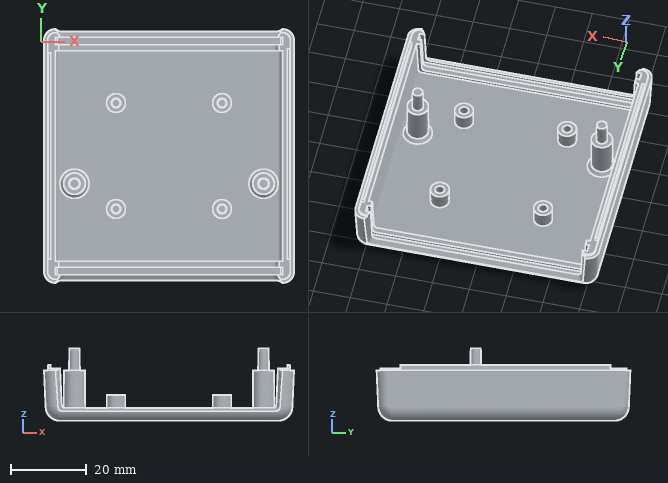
import cadquery as cq
import math

LENGTH_X = 66.2
LENGTH_Y = 67.2
RIM_Z = 13.4
DRAFT = 2.5
CORNER_RADIUS = 3.0
BOTTOM_RADIUS = 3.9

STEP_INSET = 1.0
STEP_Z = 13.9

TONGUE_Z = 14.85
TONGUE_INNER_X = 31.25
TONGUE_TAPER = 0.15
TONGUE_END_Y = 27.3
LONG_TONGUE_END_Y = 28.35

FLOOR_Z = 2.5
CAVITY_HALF_X = 30.1
CAVITY_HALF_Y = 27.8
FLOOR_FILLET = 1.0

SILL_Z = 3.5
OPENING_HALF_X = 29.1
END_HALF_X = 28.75
OPENING_RADIUS = 1.0
GROOVE_INNER_Y = 29.4
GROOVE_OUTER_Y = 31.45
FLARE_SLOPE = 0.6
FLARE_OVERRUN = 0.35

STANDOFF_SPACING = 28.0
STANDOFF_DIAMETER = 5.0
STANDOFF_Z = 6.9
STANDOFF_HOLE_TOP_DIAMETER = 2.5
STANDOFF_HOLE_FLOOR_DIAMETER = 2.2

POST_X = 25.0
POST_Y = -7.3
POST_BASE_DIAMETER = 5.7
POST_TOP_DIAMETER = 5.65
POST_FLARE = 1.0
PIN_BASE_DIAMETER = 2.95
PIN_NECK_DIAMETER = 2.8
PIN_TIP_DIAMETER = 2.6
PIN_NECK_Z = 18.4
PIN_TIP_Z = 19.3

DRAFT_SLOPE = math.tan(math.radians(DRAFT))


def make_shell_block():
    """Solid drafted block with rounded corners and a rounded underside."""
    block = (
        cq.Workplane("XY", origin=(0, 0, RIM_Z))
        .rect(LENGTH_X, LENGTH_Y)
        .extrude(-RIM_Z, taper=DRAFT)
        .edges("not(|X or |Y)")
        .fillet(CORNER_RADIUS)
        .faces("<Z")
        .edges()
        .fillet(BOTTOM_RADIUS)
    )
    step = (
        cq.Workplane("XY", origin=(0, 0, RIM_Z))
        .rect(LENGTH_X - 2 * STEP_INSET, LENGTH_Y - 2 * STEP_INSET)
        .extrude(STEP_Z - RIM_Z)
        .edges("|Z")
        .fillet(CORNER_RADIUS - STEP_INSET)
    )
    return block.union(step)


def trough_section(half_x, bottom_z, radius=0):
    """Drafted U-shaped section, open to the step height, lower corners rounded if radius is set."""
    low_half_x = half_x - (STEP_Z - bottom_z) * DRAFT_SLOPE
    section = cq.Sketch().polygon([
        (-half_x, STEP_Z),
        (half_x, STEP_Z),
        (low_half_x, bottom_z),
        (-low_half_x, bottom_z),
        (-half_x, STEP_Z),
    ])
    if radius:
        section = section.vertices("<Y").fillet(radius)
    return section


def make_trough(end_y, start_y, section):
    """Cutter with the given section that runs along Y from start_y to end_y."""
    return cq.Workplane("XZ", origin=(0, end_y, 0)).placeSketch(section).extrude(end_y - start_y)


def make_flare():
    """Cutter that widens the opening outwards beyond the groove at the +Y end."""
    run = LENGTH_Y / 2 + FLARE_OVERRUN - GROOVE_OUTER_Y
    growth = FLARE_SLOPE * run
    inner = trough_section(END_HALF_X, SILL_Z, OPENING_RADIUS)
    outer = trough_section(END_HALF_X + growth, SILL_Z - growth, OPENING_RADIUS)
    outward = cq.Location(cq.Vector(0, 0, -run))
    return (
        cq.Workplane("XZ", origin=(0, GROOVE_OUTER_Y, 0))
        .placeSketch(inner, outer.moved(outward))
        .loft(ruled=True)
    )


def cut_inside(shell):
    """Cut the cavity, the two open ends, their panel grooves and their flares."""
    cavity = trough_section(CAVITY_HALF_X, FLOOR_Z, FLOOR_FILLET)
    opening = trough_section(OPENING_HALF_X, SILL_Z, OPENING_RADIUS)
    groove_section = trough_section(CAVITY_HALF_X, FLOOR_Z)
    shell = shell.cut(make_trough(CAVITY_HALF_Y, -CAVITY_HALF_Y, cavity))
    shell = shell.cut(make_trough(GROOVE_INNER_Y, -GROOVE_INNER_Y, opening))
    groove = make_trough(GROOVE_OUTER_Y, GROOVE_INNER_Y, groove_section)
    end_cut = groove.union(make_flare())
    return shell.cut(end_cut).cut(end_cut.mirror("XZ"))


def make_tongue(side, far_y):
    """Snap tongue on the step; side is -1 or +1 along X, far_y is its +Y end."""
    outer_x = LENGTH_X / 2 - STEP_INSET
    return (
        cq.Workplane("XZ", origin=(0, far_y, 0))
        .polyline([
            (side * TONGUE_INNER_X, STEP_Z),
            (side * TONGUE_INNER_X, TONGUE_Z),
            (side * (outer_x - TONGUE_TAPER), TONGUE_Z),
            (side * outer_x, STEP_Z),
        ])
        .close()
        .extrude(far_y + TONGUE_END_Y)
    )


def make_cone(bottom_z, bottom_diameter, top_z, top_diameter):
    """Upright round body on the Z axis, tapered between two heights."""
    return cq.Workplane(
        cq.Solid.makeCone(
            bottom_diameter / 2, top_diameter / 2, top_z - bottom_z, pnt=cq.Vector(0, 0, bottom_z)
        )
    )


def make_post():
    """Drafted post on the Z axis with a conical flare at the floor."""
    base_radius = POST_BASE_DIAMETER / 2
    return (
        cq.Workplane("XZ")
        .moveTo(0, FLOOR_Z)
        .lineTo(base_radius + POST_FLARE, FLOOR_Z)
        .lineTo(base_radius, FLOOR_Z + POST_FLARE)
        .lineTo(POST_TOP_DIAMETER / 2, RIM_Z)
        .lineTo(0, RIM_Z)
        .close()
        .revolve(360, (0, 0, 0), (0, 1, 0))
    )


def make_standoff():
    """Round standoff on the Z axis with a tapered blind hole down to the floor."""
    hole = make_cone(
        FLOOR_Z, STANDOFF_HOLE_FLOOR_DIAMETER, STANDOFF_Z, STANDOFF_HOLE_TOP_DIAMETER
    )
    body = (
        cq.Workplane("XY", origin=(0, 0, FLOOR_Z))
        .circle(STANDOFF_DIAMETER / 2)
        .extrude(STANDOFF_Z - FLOOR_Z)
    )
    return body.cut(hole)


def make_housing():
    housing = cut_inside(make_shell_block())
    housing = housing.union(make_tongue(-1, TONGUE_END_Y))
    housing = housing.union(make_tongue(1, LONG_TONGUE_END_Y))
    for side in (-1, 1):
        housing = housing.union(make_post().translate((side * POST_X, POST_Y, 0)))
    for side_x in (-1, 1):
        for side_y in (-1, 1):
            place = (side_x * STANDOFF_SPACING / 2, side_y * STANDOFF_SPACING / 2, 0)
            housing = housing.union(make_standoff().translate(place))
    return housing.solids()


def make_pin(side):
    """Drafted pin with a tapered tip, standing on the top of one post."""
    shank = make_cone(RIM_Z, PIN_BASE_DIAMETER, PIN_NECK_Z, PIN_NECK_DIAMETER)
    tip = make_cone(PIN_NECK_Z, PIN_NECK_DIAMETER, PIN_TIP_Z, PIN_TIP_DIAMETER)
    return shank.union(tip).translate((side * POST_X, POST_Y, 0)).solids()


housing = make_housing()
pins = [make_pin(side) for side in (-1, 1)]

result = cq.Compound.makeCompound([housing.val(), *[pin.val() for pin in pins]])